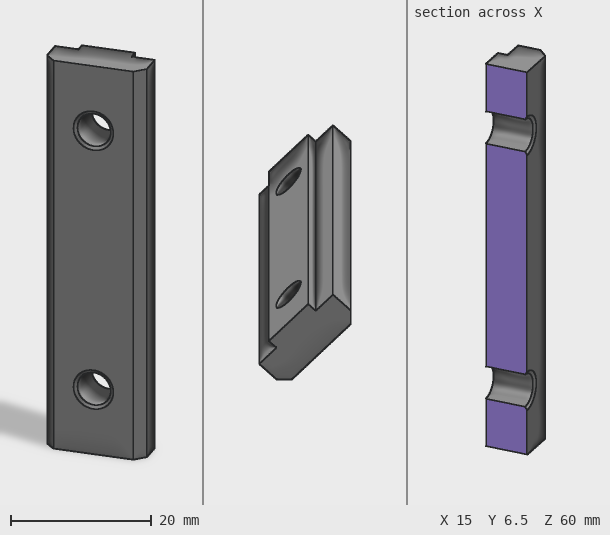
import cadquery as cq
import math

length = 60.0
width = 15.0
thickness = 6.5

neck_width = 8.0
neck_height = 1.5
edge_chamfer = 1.5

hole_spacing = 40.0
hole_diameter = 5.0
countersink_diameter = 6.0
countersink_angle = 120.0
countersink_rim = (countersink_diameter - hole_diameter) / 2
countersink_depth = countersink_rim / math.tan(math.radians(countersink_angle / 2))

front_y = -thickness / 2
back_y = thickness / 2
shoulder_y = back_y - neck_height


def make_bar():
    """T-nut profile with chamfered front edges, extruded along Z."""
    right_half = [
        (0, front_y),
        (width / 2 - edge_chamfer, front_y),
        (width / 2, front_y + edge_chamfer),
        (width / 2, shoulder_y),
        (neck_width / 2, shoulder_y),
        (neck_width / 2, back_y),
        (0, back_y),
    ]
    half_profile = cq.Workplane("XY").workplane(offset=-length / 2).polyline(right_half)
    return half_profile.mirrorY().extrude(length)


def make_hole(z):
    """Cutter for one through hole along Y, countersunk at the front."""
    start = cq.Vector(0, front_y, z)
    inward = cq.Vector(0, 1, 0)
    bore = cq.Solid.makeCylinder(hole_diameter / 2, thickness, start, inward)
    countersink = cq.Solid.makeCone(
        countersink_diameter / 2, hole_diameter / 2, countersink_depth, start, inward
    )
    return cq.Workplane(obj=bore.fuse(countersink))


result = make_bar()
for hole_z in (-hole_spacing / 2, hole_spacing / 2):
    result = result.cut(make_hole(hole_z))